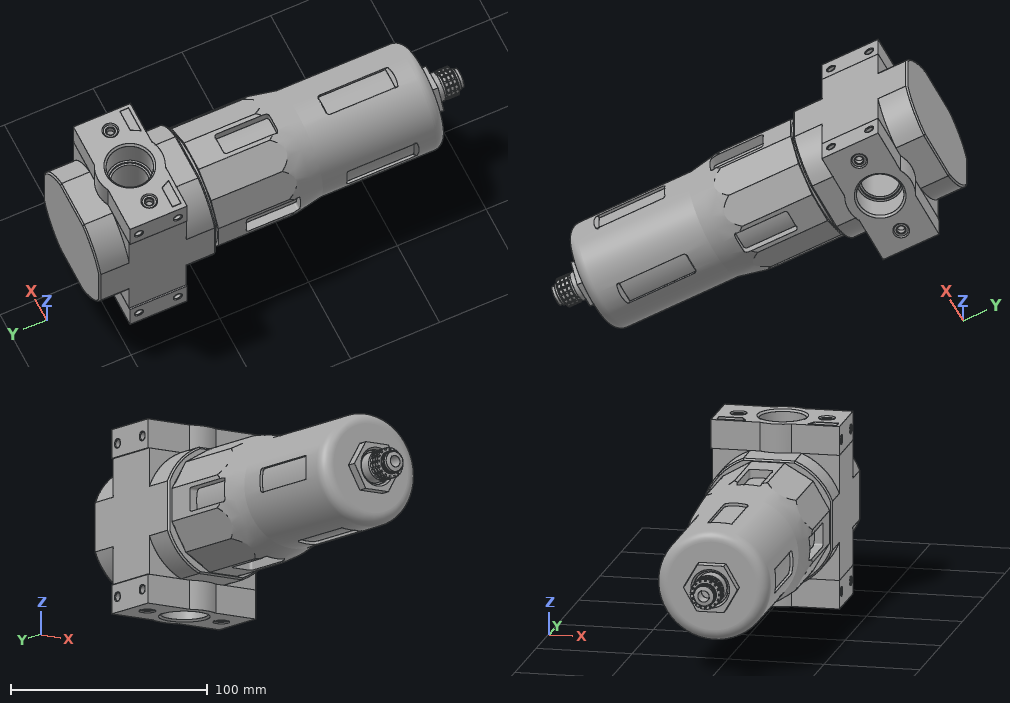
import cadquery as cq
import math


OVERALL_LENGTH = 219.2

HALF_WIDTH = 33.0
HALF_HEIGHT = 32.9
HOUSING_RADIUS = 35.5
HOUSING_END = 32.9
HOUSING_CHAMFER = 0.9

PLATE_X_MIN = -34.0
PLATE_X_MAX = 33.0
PLATE_TOP = 48.0
PLATE_DEPTH = 32.2
PLATE_THICKNESS = PLATE_TOP - HALF_HEIGHT
BOSS_DIAMETER = 36.2

PORT_DIAMETER = 24.1
PORT_CHAMFER = 1.0
PORT_RECESS_DIAMETER = 22.0
PORT_RECESS_DEPTH = 1.0
PORT_PASSAGE_DIAMETER = 19.7

DRILL_DIAMETER = 4.2
DRILL_CHAMFER = 0.5
DRILL_DEPTH = 3.3
DRILL_POINT_ANGLE = 118.0
END_HOLE_Y = 11.0
END_HOLE_Z = 40.0

SCREW_X = 23.0
SCREW_HEAD_DIAMETER = 7.2
SCREW_HOLE_CHAMFER = 0.7
SCREW_HEAD_TOP = PLATE_TOP - SCREW_HOLE_CHAMFER
SCREW_HEAD_HEIGHT = 4.8
SCREW_SEAT = SCREW_HEAD_TOP - SCREW_HEAD_HEIGHT
SCREW_SHANK_DIAMETER = 6.0
SCREW_LENGTH = 22.0
SCREW_BOTTOM = SCREW_HEAD_TOP - SCREW_LENGTH

LABEL_LENGTH = 15.0
LABEL_WIDTH = 4.8
LABEL_SLANT = 2.6
LABEL_DEPTH = 0.2
LABEL_OUTER_X = 31.1
LABEL_Y = -11.6

NECK_DIAMETER = 62.0
NECK_LENGTH = 1.8
GRIP_START = -HOUSING_END - NECK_LENGTH
GRIP_SIDES = 12
GRIP_FLATS = 64.2
GRIP_CORNER_RADIUS = GRIP_FLATS / 2 / math.cos(math.pi / GRIP_SIDES)
TAPER_START = -74.8
TAPER_END = -95.0
SLEEVE_RADIUS = 29.4
GUARD_END = -165.0
GUARD_ROUNDING = 6.1

WINDOW_WIDTH = 12.5
WINDOW_CORNER = 1.5
WINDOW_COUNT = 4
GRIP_WINDOW = (-81.0, -50.5)
SLEEVE_WINDOW = (-149.0, -108.5)
SLEEVE_WINDOW_SLOPE = 2.2

BOWL_RADIUS = 27.8
BOWL_END = -155.6

HEX_SIDES = 6
HEX_FLATS = 24.3
HEX_END = -170.3
DRAIN_END = HOUSING_END - OVERALL_LENGTH
DRAIN_RECESS_DIAMETER = 18.0
DRAIN_RECESS_DEPTH = 3.3
DRAIN_RECESS_CHAMFER = 1.0
COLLAR_RADIUS = 8.0
COLLAR_END = -174.0
NIPPLE_DIAMETER = 11.6
NIPPLE_RADIUS = NIPPLE_DIAMETER / 2
RING_START = -175.5
RING_WIDTH = 1.8
RING_GAP = 0.55
RING_PITCH = RING_WIDTH + RING_GAP
RING_COUNT = 3
KNURL_COUNT = 16
KNURL_WIDTH = 0.9
KNURL_DEPTH = 1.0
TIP_NECK_START = -182.2
TIP_NECK_RADIUS = 5.3
TIP_START = -183.0
TIP_BEAD_END = -184.1
TIP_CONE_START = -186.0
DRAIN_HOLE_DIAMETER = 6.0
DRAIN_HOLE_DEPTH = 8.8


def disc(radius, y_start, y_end):
    """Cylinder about the Y axis between two Y positions."""
    return cq.Workplane("XZ", origin=(0, y_start, 0)).circle(radius).extrude(y_start - y_end)


def upright(diameter, z_bottom, z_top, x=0.0):
    """Cylinder parallel to Z."""
    return cq.Workplane("XY", origin=(x, 0, z_bottom)).circle(diameter / 2).extrude(z_top - z_bottom)


def mirror_below(body):
    """Counterpart of a body on the other side of the XY plane."""
    return body.mirror("XY")


def drill_cutter():
    """Chamfered blind hole with a drill point, entering the plane Z = 0 downwards."""
    radius = DRILL_DIAMETER / 2
    point_height = radius / math.tan(math.radians(DRILL_POINT_ANGLE / 2))
    return (
        cq.Workplane("XZ")
        .lineTo(radius + DRILL_CHAMFER, 0)
        .lineTo(radius, -DRILL_CHAMFER)
        .lineTo(radius, -DRILL_DEPTH)
        .lineTo(0, -DRILL_DEPTH - point_height)
        .close()
        .revolve(360, (0, 0, 0), (0, 1, 0))
    )


def make_housing():
    core = disc(HOUSING_RADIUS, HOUSING_END, -HOUSING_END)
    core = core.intersect(cq.Workplane().box(2 * HALF_WIDTH, 2 * HOUSING_END, 2 * HALF_HEIGHT))
    core = core.faces("<Y or >Y").chamfer(HOUSING_CHAMFER)
    block = cq.Workplane().box(2 * HALF_WIDTH, PLATE_DEPTH, 2 * HALF_HEIGHT)
    housing = core.union(block)

    housing = housing.cut(upright(PORT_PASSAGE_DIAMETER, -HALF_HEIGHT, HALF_HEIGHT))
    recess = upright(PORT_RECESS_DIAMETER, HALF_HEIGHT - PORT_RECESS_DEPTH, HALF_HEIGHT)
    housing = housing.cut(recess).cut(mirror_below(recess))

    for x in (-SCREW_X, SCREW_X):
        screw_hole = upright(SCREW_SHANK_DIAMETER, SCREW_BOTTOM, HALF_HEIGHT, x)
        housing = housing.cut(screw_hole).cut(mirror_below(screw_hole))
    return housing


def chamfer_smallest_rim(body, size):
    """Chamfer the smallest circular edges on the top face."""
    rims = body.faces(">Z").edges("%CIRCLE").edges(cq.selectors.RadiusNthSelector(0))
    return rims.chamfer(size)


def make_plate():
    length = PLATE_X_MAX - PLATE_X_MIN
    bar = cq.Workplane().box(length, PLATE_DEPTH, PLATE_THICKNESS, centered=(False, True, False))
    plate = bar.translate((PLATE_X_MIN, 0, HALF_HEIGHT))
    plate = plate.union(upright(BOSS_DIAMETER, HALF_HEIGHT, PLATE_TOP))

    plate = plate.cut(upright(PORT_DIAMETER, HALF_HEIGHT, PLATE_TOP))
    plate = chamfer_smallest_rim(plate, PORT_CHAMFER)

    for x in (-SCREW_X, SCREW_X):
        plate = plate.cut(upright(SCREW_SHANK_DIAMETER, HALF_HEIGHT, PLATE_TOP, x))
        plate = plate.cut(upright(SCREW_HEAD_DIAMETER, SCREW_SEAT, PLATE_TOP, x))
    plate = chamfer_smallest_rim(plate, SCREW_HOLE_CHAMFER)

    left_hole = drill_cutter().rotate((0, 0, 0), (0, 1, 0), -90)
    right_hole = drill_cutter().rotate((0, 0, 0), (0, 1, 0), 90)
    for y in (-END_HOLE_Y, END_HOLE_Y):
        plate = plate.cut(left_hole.translate((PLATE_X_MIN, y, END_HOLE_Z)))
        plate = plate.cut(right_hole.translate((PLATE_X_MAX, y, END_HOLE_Z)))
    return plate


def add_labels(plate):
    """Sink a shallow trapezoid into the top near each end of the plate."""
    inner_x = LABEL_OUTER_X - LABEL_LENGTH
    label = (
        cq.Workplane("XY", origin=(0, LABEL_Y, PLATE_TOP - LABEL_DEPTH))
        .moveTo(LABEL_OUTER_X, -LABEL_WIDTH / 2)
        .lineTo(LABEL_OUTER_X, LABEL_WIDTH / 2)
        .lineTo(inner_x + LABEL_SLANT, LABEL_WIDTH / 2)
        .lineTo(inner_x, -LABEL_WIDTH / 2)
        .close()
        .extrude(LABEL_DEPTH)
    )
    return plate.cut(label).cut(label.mirror("YZ"))


def make_screw(x):
    shank = upright(SCREW_SHANK_DIAMETER, SCREW_BOTTOM, SCREW_SEAT, x)
    head = upright(SCREW_HEAD_DIAMETER, SCREW_SEAT, SCREW_HEAD_TOP, x)
    return shank.union(head).cut(drill_cutter().translate((x, 0, SCREW_HEAD_TOP)))


def make_bowl():
    return disc(BOWL_RADIUS, -HOUSING_END, BOWL_END)


def window_cutter(y_min, y_max):
    """Rounded slot passing out through the +Z side of the guard."""
    slot = cq.Workplane().box(WINDOW_WIDTH, y_max - y_min, GRIP_CORNER_RADIUS, centered=(True, True, False))
    return slot.edges("|Z").fillet(WINDOW_CORNER).translate((0, (y_min + y_max) / 2, 0))


def sleeve_window_cutter():
    """Window whose -Y end wall slopes outward, so the cutter is narrower near the bowl."""
    y_min, y_max = SLEEVE_WINDOW
    side_outline = (
        cq.Workplane("YZ")
        .moveTo(y_min, SLEEVE_RADIUS)
        .lineTo(y_min + SLEEVE_WINDOW_SLOPE, BOWL_RADIUS)
        .lineTo(y_min + SLEEVE_WINDOW_SLOPE, 0)
        .lineTo(y_max, 0)
        .lineTo(y_max, GRIP_CORNER_RADIUS)
        .lineTo(y_min, GRIP_CORNER_RADIUS)
        .close()
        .extrude(WINDOW_WIDTH / 2, both=True)
    )
    return window_cutter(y_min, y_max).intersect(side_outline)


def make_guard(bowl):
    half_step = 180 / GRIP_SIDES
    grip = (
        cq.Workplane("XZ", origin=(0, GRIP_START, 0))
        .polygon(GRIP_SIDES, 2 * GRIP_CORNER_RADIUS)
        .extrude(GRIP_START - TAPER_END)
        .rotate((0, 0, 0), (0, 1, 0), half_step)
    )
    turned_outline = (
        cq.Workplane("XY")
        .moveTo(0, GRIP_START)
        .lineTo(GRIP_CORNER_RADIUS, GRIP_START)
        .lineTo(GRIP_CORNER_RADIUS, TAPER_START)
        .lineTo(SLEEVE_RADIUS, TAPER_END)
        .lineTo(0, TAPER_END)
        .close()
        .revolve(360, (0, 0, 0), (0, 1, 0))
    )
    grip = grip.intersect(turned_outline)

    sleeve = disc(SLEEVE_RADIUS, TAPER_END, GUARD_END).faces("<Y").edges().fillet(GUARD_ROUNDING)
    neck = disc(NECK_DIAMETER / 2, -HOUSING_END, GRIP_START)
    guard = neck.union(grip).union(sleeve).cut(bowl)

    for window in (window_cutter(*GRIP_WINDOW), sleeve_window_cutter()):
        for i in range(WINDOW_COUNT):
            angle = i * 360 / WINDOW_COUNT
            guard = guard.cut(window.rotate((0, 0, 0), (0, 1, 0), angle))
    return guard


def make_drain():
    hexagon = (
        cq.Workplane("XZ", origin=(0, GUARD_END, 0))
        .polygon(HEX_SIDES, HEX_FLATS / math.cos(math.pi / HEX_SIDES))
        .extrude(GUARD_END - HEX_END)
    )
    recess = disc(DRAIN_RECESS_DIAMETER / 2, HEX_END + DRAIN_RECESS_DEPTH, HEX_END)
    hexagon = hexagon.cut(recess)
    hexagon = hexagon.faces("<Y").edges("%CIRCLE").chamfer(DRAIN_RECESS_CHAMFER)

    stem = (
        cq.Workplane("XY")
        .moveTo(0, GUARD_END)
        .lineTo(COLLAR_RADIUS, GUARD_END)
        .lineTo(COLLAR_RADIUS, COLLAR_END)
        .lineTo(NIPPLE_RADIUS, COLLAR_END)
        .lineTo(NIPPLE_RADIUS, TIP_NECK_START)
        .lineTo(TIP_NECK_RADIUS, TIP_NECK_START)
        .lineTo(TIP_NECK_RADIUS, TIP_START)
        .lineTo(NIPPLE_RADIUS, TIP_START)
        .lineTo(NIPPLE_RADIUS, TIP_BEAD_END)
        .lineTo(TIP_NECK_RADIUS, TIP_BEAD_END)
        .lineTo(TIP_NECK_RADIUS, TIP_CONE_START)
        .lineTo(DRAIN_HOLE_DIAMETER / 2, DRAIN_END)
        .lineTo(0, DRAIN_END)
        .close()
        .revolve(360, (0, 0, 0), (0, 1, 0))
    )
    drain = hexagon.union(stem)
    for i in range(RING_COUNT):
        drain = drain.union(knurled_ring(RING_START - i * RING_PITCH))
    return drain.cut(disc(DRAIN_HOLE_DIAMETER / 2, DRAIN_END + DRAIN_HOLE_DEPTH, DRAIN_END))


def knurled_ring(y_start):
    """Flange on the nipple with notches around its rim."""
    ring = disc(COLLAR_RADIUS, y_start, y_start - RING_WIDTH)
    notches = (
        cq.Workplane("XZ", origin=(0, y_start, 0))
        .polarArray(COLLAR_RADIUS, 0, 360, KNURL_COUNT)
        .rect(2 * KNURL_DEPTH, KNURL_WIDTH)
        .extrude(RING_WIDTH)
    )
    return ring.cut(notches)


housing = make_housing()
plain_plate = make_plate()
top_plate = add_labels(plain_plate)
bottom_plate = mirror_below(plain_plate)
top_screws = [make_screw(x) for x in (-SCREW_X, SCREW_X)]
bottom_screws = [mirror_below(screw) for screw in top_screws]
bowl = make_bowl()
guard = make_guard(bowl)
drain = make_drain()

bodies = [housing, top_plate, bottom_plate, *top_screws, *bottom_screws, bowl, guard, drain]
result = cq.Compound.makeCompound([body.solids().val() for body in bodies])